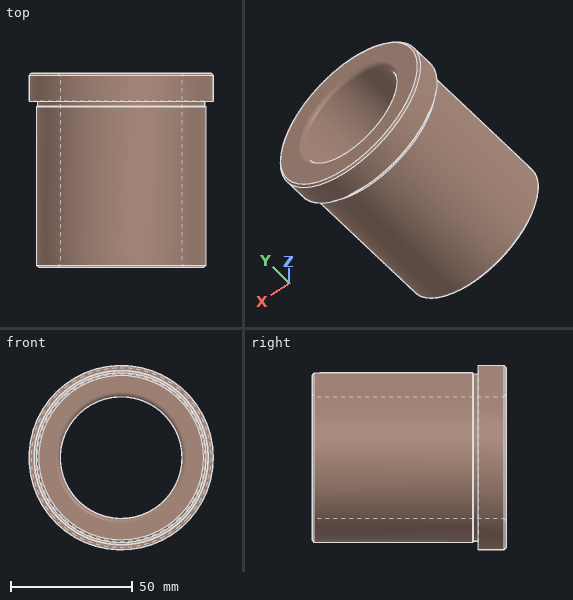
import cadquery as cq

total_length = 80.0
flange_diameter = 76.0
flange_length = 11.8
body_diameter = 70.0
bore_diameter = 50.0

flange_chamfer = 1.0
flange_inner_fillet = 0.4
bore_mouth_radius = 2.0

groove_width = 2.2
groove_depth = 0.5
face_groove_depth = 0.2
face_groove_outer_radius = 36.0

lead_length = 4.0
lead_taper = 0.04
lead_chamfer_length = 0.8
lead_chamfer_depth = 1.1

front_y = -total_length / 2
back_y = total_length / 2
shoulder_y = back_y - flange_length
flange_radius = flange_diameter / 2
body_radius = body_diameter / 2
bore_radius = bore_diameter / 2
lead_radius = body_radius - lead_taper
groove_radius = body_radius - groove_depth


def make_bushing():
    """Revolve the half section (X is the radius) around the Y axis."""
    section = (
        cq.Workplane("XY")
        .moveTo(bore_radius, front_y)
        .lineTo(body_radius - lead_chamfer_depth, front_y)
        .lineTo(lead_radius, front_y + lead_chamfer_length)
        .lineTo(body_radius, front_y + lead_length)
        .lineTo(body_radius, shoulder_y - groove_width)
        .lineTo(groove_radius, shoulder_y - groove_width + groove_depth)
        .lineTo(groove_radius, shoulder_y + face_groove_depth)
        .lineTo(face_groove_outer_radius - face_groove_depth, shoulder_y + face_groove_depth)
        .lineTo(face_groove_outer_radius, shoulder_y)
        .lineTo(flange_radius, shoulder_y)
        .lineTo(flange_radius, back_y)
        .lineTo(bore_radius, back_y)
        .close()
    )
    return section.revolve(360, (0, 0, 0), (0, 1, 0))


def circle_edges(body, radius, y):
    """Select the circular edge of the given radius at position y along the axis."""
    tolerance = 0.01
    half_side = radius + tolerance
    return body.edges(
        cq.selectors.BoxSelector(
            (-half_side, y - tolerance, -half_side),
            (half_side, y + tolerance, half_side),
            boundingbox=True,
        )
    ).edges(cq.selectors.RadiusNthSelector(-1))


result = make_bushing()
for bore_end_y in (front_y, back_y):
    result = circle_edges(result, bore_radius, bore_end_y).fillet(bore_mouth_radius)
result = circle_edges(result, flange_radius, back_y).chamfer(flange_chamfer)
result = circle_edges(result, flange_radius, shoulder_y).fillet(flange_inner_fillet)